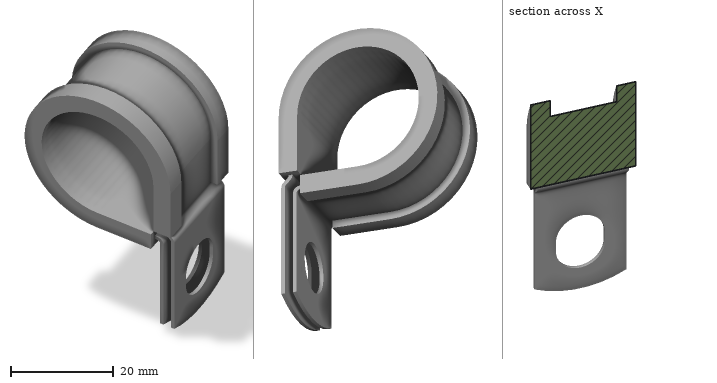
import cadquery as cq
import math

outer_radius = 16.55
cushion_wall = 3.9
cushion_width = 22.1
vertical_leg_length = 11.65
horizontal_leg_length = 12.15

groove_width = 13.85
groove_depth = 1.55
strap_thickness = 0.8
strap_width = 19.2
strap_outer_radius = outer_radius - groove_depth
strap_inner_radius = strap_outer_radius - strap_thickness

total_height = 55.4
tab_bottom = outer_radius - total_height
tip_rise = 2.1
hole_diameter = 10.3
rear_slot_travel = 2.0
hole_height = -27.75
front_tab_face = 14.15
jog_start = -12.3
jog_angle = 45.0
bend_inner_radius = 0.65
bend_outer_radius = bend_inner_radius + strap_thickness
tab_root_overlap = 1.65


def extrude_along_y(profile, width):
    return profile.extrude(width / 2, both=True)


def loop_band(radius_out, radius_in, width):
    """Three-quarter ring whose two ends run straight toward the open lower +X corner."""
    mid_out = radius_out * math.sqrt(0.5)
    mid_in = radius_in * math.sqrt(0.5)
    profile = (
        cq.Workplane("XZ")
        .moveTo(radius_out, -vertical_leg_length)
        .lineTo(radius_out, 0)
        .threePointArc((-mid_out, mid_out), (0, -radius_out))
        .lineTo(horizontal_leg_length, -radius_out)
        .lineTo(horizontal_leg_length, -radius_in)
        .lineTo(0, -radius_in)
        .threePointArc((-mid_in, mid_in), (radius_in, 0))
        .lineTo(radius_in, -vertical_leg_length)
        .close()
    )
    return extrude_along_y(profile, width)


def round_bend(body, x, z, radius):
    """Round the Y-direction edge passing through (x, z)."""
    return body.edges(cq.selectors.NearestToPointSelector((x, 0, z))).fillet(radius)


def make_front_tab():
    """Tab turning down from the end of the horizontal leg."""
    root = horizontal_leg_length - tab_root_overlap
    back_face = front_tab_face - strap_thickness
    profile = cq.Workplane("XZ").polyline([
        (root, -strap_inner_radius),
        (front_tab_face, -strap_inner_radius),
        (front_tab_face, tab_bottom),
        (back_face, tab_bottom),
        (back_face, -strap_outer_radius),
        (root, -strap_outer_radius),
    ]).close()
    tab = extrude_along_y(profile, strap_width)
    tab = round_bend(tab, front_tab_face, -strap_inner_radius, bend_outer_radius)
    return round_bend(tab, back_face, -strap_outer_radius, bend_inner_radius)


def make_rear_tab():
    """Tab below the vertical leg, jogged outward to the cushion's outer face."""
    root = -vertical_leg_length + tab_root_overlap
    inner_face = outer_radius - strap_thickness
    jog_end = jog_start - groove_depth / math.tan(math.radians(jog_angle))
    miter_rise = strap_thickness * math.tan(math.radians(jog_angle / 2))
    profile = cq.Workplane("XZ").polyline([
        (strap_inner_radius, root),
        (strap_outer_radius, root),
        (strap_outer_radius, jog_start + miter_rise),
        (outer_radius, jog_end + miter_rise),
        (outer_radius, tab_bottom),
        (inner_face, tab_bottom),
        (inner_face, jog_end),
        (strap_inner_radius, jog_start),
    ]).close()
    tab = extrude_along_y(profile, strap_width)
    tab = round_bend(tab, strap_inner_radius, jog_start, bend_outer_radius)
    tab = round_bend(tab, strap_outer_radius, jog_start + miter_rise, bend_inner_radius)
    tab = round_bend(tab, outer_radius, jog_end + miter_rise, bend_outer_radius)
    return round_bend(tab, inner_face, jog_end, bend_inner_radius)


def make_tab_outline():
    """Tab face shape with a curved tip, extruded along X."""
    half_width = strap_width / 2
    shoulder = tab_bottom + tip_rise
    return (
        cq.Workplane("YZ")
        .moveTo(-half_width, 0)
        .lineTo(-half_width, shoulder)
        .threePointArc((0, tab_bottom), (half_width, shoulder))
        .lineTo(half_width, 0)
        .close()
        .extrude(outer_radius)
    )


def make_bolt_hole():
    """Round hole cutter for the front tab."""
    return (
        cq.Workplane("YZ")
        .center(0, hole_height)
        .circle(hole_diameter / 2)
        .extrude(outer_radius)
    )


def make_bolt_slot():
    """Vertical slot cutter for the rear tab, centered on the front hole."""
    return (
        cq.Workplane("YZ")
        .center(0, hole_height)
        .slot2D(hole_diameter + rear_slot_travel, hole_diameter, 90)
        .extrude(outer_radius)
    )


cushion = loop_band(outer_radius, outer_radius - cushion_wall, cushion_width)
groove = loop_band(outer_radius, strap_outer_radius, groove_width)
front_tab = make_front_tab().intersect(make_tab_outline()).cut(make_bolt_hole())
rear_tab = make_rear_tab().intersect(make_tab_outline()).cut(make_bolt_slot())

result = cushion.cut(groove).union(front_tab).union(rear_tab)